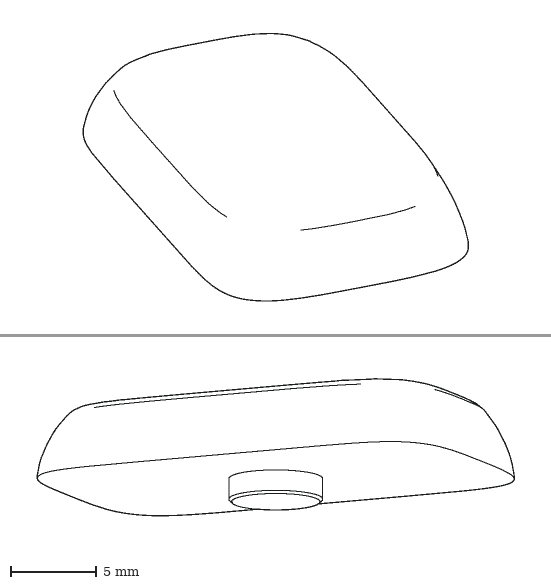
import cadquery as cq
import math

length = 26.47
width = 16.46
height = 5.66

stem_diameter = 5.5
stem_length = 1.38
stem_chamfer = 0.15

base_z = stem_length
band_height = 0.2
band_z = base_z + band_height
waist_z = 3.6
rim_z = 5.15
shoulder_z = 5.5

waist_inset = (0.42, 0.45)
rim_inset = (1.2, 1.09)
shoulder_inset = (1.65, 1.67)
crest_inset = (2.44, 2.55)

base_power = (7.9, 3.7)
waist_power = (6.6, 3.6)
rim_power = (5.0, 3.3)
shoulder_power = (5.8, 3.5)
crest_power = (7.0, 3.7)

dish_depth = 0.6
points_per_quarter = 10
bisection_steps = 40


def polar_radius(cosine, sine, power):
    """Distance from the centre to |x|^power[0] + |y|^power[1] = 1, found by bisection."""
    inside = 0.0
    outside = math.sqrt(2)
    for _ in range(bisection_steps):
        middle = (inside + outside) / 2
        if abs(middle * cosine) ** power[0] + abs(middle * sine) ** power[1] < 1:
            inside = middle
        else:
            outside = middle
    return inside


def superellipse(inset, z, power):
    """Closed superellipse-like outline at height z, set in from the overall size."""
    half_x = length / 2 - inset[0]
    half_y = width / 2 - inset[1]

    def point(index):
        angle = math.pi / 2 * index / points_per_quarter
        cosine = math.cos(angle)
        sine = math.sin(angle)
        radius = polar_radius(cosine, sine, power)
        return cq.Vector(half_x * radius * cosine, half_y * radius * sine, z)

    points = [point(index) for index in range(4 * points_per_quarter)]
    return cq.Wire.assembleEdges([cq.Edge.makeSpline(points, periodic=True)])


def side_faces(outlines, ruled=False):
    """Faces of a loft through the outlines, without its flat ends."""
    loft = cq.Solid.makeLoft(outlines, ruled)
    return [face for face in loft.Faces() if face.geomType() != "PLANE"]


def make_dish(crest):
    """Smooth bowl hung from the crest outline."""
    bottom = cq.Vector(0, 0, height - dish_depth)
    return cq.Face.makeNSidedSurface(crest.Edges(), [bottom])


no_inset = (0.0, 0.0)
band = superellipse(no_inset, band_z, base_power)
waist = superellipse(waist_inset, waist_z, waist_power)
rim = superellipse(rim_inset, rim_z, rim_power)
shoulder = superellipse(shoulder_inset, shoulder_z, shoulder_power)
crest = superellipse(crest_inset, height, crest_power)

base = superellipse(no_inset, base_z, base_power)
cap_faces = [cq.Face.makeFromWires(base)]
cap_faces += side_faces([base, band], ruled=True)
cap_faces += side_faces([band, waist, rim])
cap_faces += side_faces([rim, shoulder, crest])
cap_faces.append(make_dish(crest))
cap = cq.Workplane(cq.Solid.makeSolid(cq.Shell.makeShell(cap_faces)))

stem = cq.Workplane("XY").circle(stem_diameter / 2).extrude(stem_length).faces("<Z").chamfer(stem_chamfer)

result = cap.union(stem)